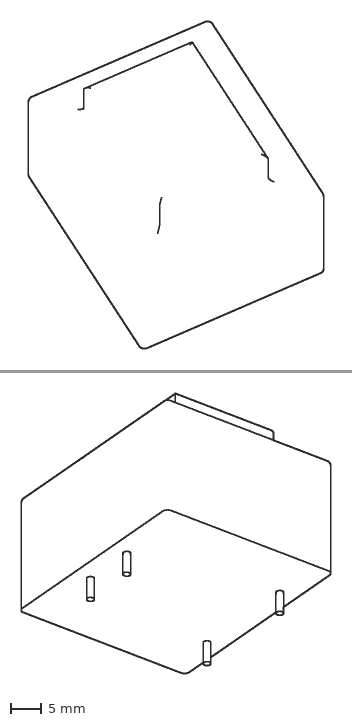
import cadquery as cq

case_length = 40.6
case_width = 34.2
case_height = 21.5
case_round = 1.0

block_length = 26.6
block_width = 20.2
block_height = 7.0
block_top_round = 1.0
block_foot_round = 1.0
foot_margin = 0.1

pin_diameter = 1.28
pin_length = 4.0
pin_row_spacing = 27.6
front_row_x = (-10.0, 10.0)
back_row_x = (-5.0, 5.0)


def make_case():
    """Box with rounded vertical and top edges and a sharp bottom."""
    case = cq.Workplane("XY").box(case_length, case_width, case_height, centered=(True, True, False))
    return case.edges("|Z or >Z").fillet(case_round)


def add_block(case):
    """Raised block with sharp vertical corners, rounded along its top and blended in at its foot."""
    block = (
        cq.Workplane("XY")
        .workplane(offset=case_height)
        .rect(block_length, block_width)
        .extrude(block_height)
        .edges(">Z")
        .fillet(block_top_round)
    )
    reach_x = block_length / 2 + foot_margin
    reach_y = block_width / 2 + foot_margin
    foot = cq.selectors.BoxSelector(
        (-reach_x, -reach_y, case_height - foot_margin),
        (reach_x, reach_y, case_height + foot_margin),
    )
    return case.union(block).edges(foot).fillet(block_foot_round)


def make_pin_row(row_x, row_y):
    """Round pins hanging from the underside of the case at one Y."""
    points = [(x, row_y) for x in row_x]
    return cq.Workplane("XY").pushPoints(points).circle(pin_diameter / 2).extrude(-pin_length)


result = add_block(make_case())
result = result.union(make_pin_row(front_row_x, -pin_row_spacing / 2))
result = result.union(make_pin_row(back_row_x, pin_row_spacing / 2))